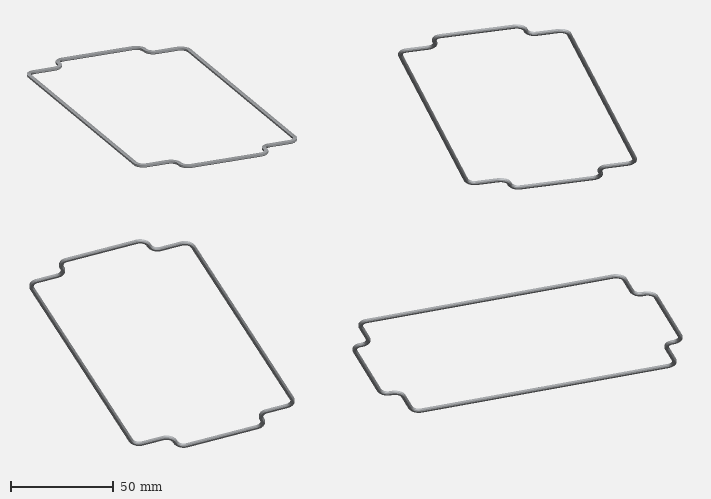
import cadquery as cq

length = 157.5
width = 87.4
height = 1.5

cord_width = 2.0
bottom_chamfer = 0.5

notch_x = 9.6
notch_y = 19.7
bend_radius = 4.4


def centreline_plate():
    """Plate bounded by the cord's centreline, with every bend rounded."""
    path_length = length - cord_width
    path_width = width - cord_width
    lengthwise = cq.Workplane("XY").rect(path_length, path_width - 2 * notch_y).extrude(height)
    crosswise = cq.Workplane("XY").rect(path_length - 2 * notch_x, path_width).extrude(height)
    return lengthwise.union(crosswise).edges("|Z").fillet(bend_radius)


def offset_plate(centreline, distance):
    """Plate bounded by the centreline moved outward (or inward if negative)."""
    outline = centreline.offset2D(distance)[0]
    return cq.Workplane("XY").add(outline).toPending().extrude(height)


centreline = centreline_plate().faces("<Z").wires().val()
outer_plate = offset_plate(centreline, cord_width / 2)
opening = offset_plate(centreline, -cord_width / 2)

ring = outer_plate.cut(opening)
result = ring.faces("<Z").edges().chamfer(bottom_chamfer)